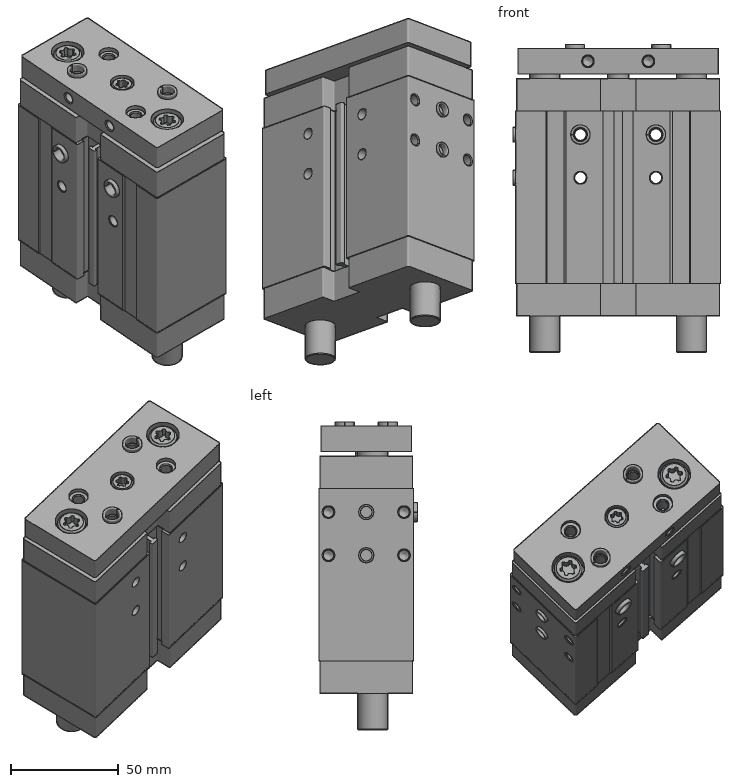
import cadquery as cq
import math

ROD_PROTRUSION = 17.0
CAP_HEIGHT = 15.0
BODY_HEIGHT = 80.0
STROKE_GAP = 2.0
PLATE_THICKNESS = 12.0
BODY_BOTTOM = ROD_PROTRUSION + CAP_HEIGHT
BODY_TOP = BODY_BOTTOM + BODY_HEIGHT
CAP_TOP = BODY_TOP + CAP_HEIGHT
PLATE_BOTTOM = CAP_TOP + STROKE_GAP
PLATE_TOP = PLATE_BOTTOM + PLATE_THICKNESS

BODY_LENGTH = 95.0
BODY_WIDTH = 44.0
BODY_CORNER = 0.5
CAP_LENGTH = 94.0
CAP_WIDTH = 43.0
PLATE_LENGTH = 93.0
PLATE_WIDTH = 42.0
END_CORNER = 1.0
BODY_FACE = BODY_WIDTH / 2
CAP_FACE = CAP_WIDTH / 2

ROD_DIAMETER = 14.0
ROD_X = 34.0
ROD_Y = -3.0
ROD_CHAMFER = 0.4
PISTON_ROD_DIAMETER = 10.0
COUNTERBORE_DEPTH = 5.7
SCREW_RECESS = 0.5
SOCKET_DEPTH = 4.3
ROD_COUNTERBORE = 15.0
ROD_SCREW_HEAD = 13.0
ROD_SCREW_CHAMFER = 1.0
ROD_SOCKET_TIP = 7.7
ROD_SOCKET_VALLEY = 5.5
PISTON_COUNTERBORE = 11.0
PISTON_SCREW_HEAD = 10.0
PISTON_SCREW_CHAMFER = 0.7
PISTON_SOCKET_TIP = 5.9
PISTON_SOCKET_VALLEY = 4.4

THREAD_CORE = 4.9
FRONT_HOLE_DIAMETER = 5.3
FRONT_HOLE_CHAMFER = 0.35
THREAD_CHAMFER = 0.5
THREAD_DEPTH = 10.0
DRILL_TIP_ANGLE = 118
UPPER_HOLE_Z = 101.0
HOLE_PITCH_Z = 20.0
LOWER_HOLE_Z = UPPER_HOLE_Z - HOLE_PITCH_Z
HOLE_SPACING = 35.0
PLATE_HOLE_X = 20.0
PLATE_HOLE_Y = 10.0
PLATE_FRONT_HOLE_X = 14.0

LARGE_SLEEVE_OD = 9.0
LARGE_SLEEVE_BORE = 6.4
LARGE_SLEEVE_SEAT = 2.1
LARGE_SLEEVE_PROTRUSION = 1.9
LARGE_SLEEVE_SLIT = 0.3
SMALL_SLEEVE_OD = 7.0
SMALL_SLEEVE_BORE = 5.3
SMALL_SLEEVE_SEAT = 1.7
SMALL_SLEEVE_PROTRUSION = 1.3

CAP_SLOT_RADIUS = 0.4
BODY_SLOT_RADIUS = 0.5
CAP_SLOT_HALF = 8.3
CAP_SLOT_FLOOR = 14.1
LIP_HALF = 7.0
LIP_BACK = 17.7
UNDERCUT_HALF = 8.7
UNDERCUT_FLOOR = 13.3
RIDGE_HEAD_HALF = 2.0
RIDGE_STEM_HALF = 1.0
RIDGE_FRONT = 19.5

GROOVE_DEPTH = 0.5
GROOVE_OUTER_X = 33.4
GROOVE_FLOOR_OUTER_X = 33.0
GROOVE_FLOOR_INNER_X = 25.1
GROOVE_INNER_X = 24.1


def block(length, width, bottom, height, corner):
    """Upright block centred on the Z axis with rounded vertical edges."""
    plain = cq.Workplane("XY").workplane(offset=bottom).rect(length, width).extrude(height)
    return plain.edges("|Z").fillet(corner)


def cylinder(origin, direction, diameter, depth):
    """Cylinder from an origin point along a direction."""
    return cq.Workplane(
        cq.Solid.makeCylinder(diameter / 2, depth, cq.Vector(*origin), cq.Vector(*direction))
    )


def cone(origin, direction, large_diameter, small_diameter, depth):
    """Cone that narrows from an origin point along a direction."""
    return cq.Workplane(
        cq.Solid.makeCone(
            large_diameter / 2, small_diameter / 2, depth, cq.Vector(*origin), cq.Vector(*direction)
        )
    )


def along(origin, direction, distance):
    """Point at a distance from the origin along a direction."""
    return tuple(o + d * distance for o, d in zip(origin, direction))


def chamfered_hole(origin, direction, depth, diameter=THREAD_CORE, chamfer=THREAD_CHAMFER):
    """Cutter for a round hole with an entry chamfer."""
    mouth = cone(origin, direction, diameter + 2 * chamfer, diameter, chamfer)
    return cylinder(origin, direction, diameter, depth).union(mouth)


def blind_thread(origin, direction):
    """Cutter for a chamfered blind hole with a drill-tip bottom."""
    tip_height = THREAD_CORE / 2 / math.tan(math.radians(DRILL_TIP_ANGLE / 2))
    tip = cone(along(origin, direction, THREAD_DEPTH), direction, THREAD_CORE, 0, tip_height)
    return chamfered_hole(origin, direction, THREAD_DEPTH).union(tip)


def sleeve(mouth, inward, outer, bore, seat, protrusion):
    """Centring sleeve with a fully rounded tip; it sits in a recess and stands proud of the face."""
    outer_radius = outer / 2
    bore_radius = bore / 2
    tip_radius = (outer_radius - bore_radius) / 2
    tube = (
        cq.Workplane("XZ")
        .moveTo(-bore_radius, -seat)
        .lineTo(-outer_radius, -seat)
        .lineTo(-outer_radius, protrusion - tip_radius)
        .threePointArc((tip_radius - outer_radius, protrusion), (-bore_radius, protrusion - tip_radius))
        .close()
        .revolve(360, (0, 0, 0), (0, 1, 0))
    )
    outward = tuple(-d for d in inward)
    x_direction = (0, 1, 0) if inward[0] else (1, 0, 0)
    return tube.val().moved(cq.Plane(origin=mouth, xDir=x_direction, normal=outward).location)


INTO_FRONT = (0, 1, 0)
INTO_SIDE = (1, 0, 0)
DOWN = (0, 0, -1)
UP = (0, 0, 1)
FRONT_SLEEVE_SEATS = [(side * HOLE_SPACING / 2, -BODY_FACE, UPPER_HOLE_Z) for side in (-1, 1)]
SIDE_SLEEVE_SEATS = [(-BODY_LENGTH / 2, 0, z) for z in (UPPER_HOLE_Z, LOWER_HOLE_Z)]
PLATE_SLEEVE_SEATS = [(side * PLATE_HOLE_X, side * PLATE_HOLE_Y, PLATE_TOP) for side in (-1, 1)]
GUIDE_ROD_CENTRES = [(-ROD_X, ROD_Y), (ROD_X, ROD_Y)]


def rod_bores(bottom, height):
    """Cutter for the two guide rods over a height range."""
    centres = cq.Workplane("XY").workplane(offset=bottom).pushPoints(GUIDE_ROD_CENTRES)
    return centres.circle(ROD_DIAMETER / 2).extrude(height)


def piston_rod(bottom, height):
    """Piston rod cylinder over a height range, also the cutter for its bore."""
    return cylinder((0, 0, bottom), UP, PISTON_ROD_DIAMETER, height)


def cap_slot():
    """Straight slot cutter at the front of a cap, with rounded floor corners and mouth edges."""
    r = CAP_SLOT_RADIUS
    s = r * math.sqrt(0.5)
    mouth_y = -CAP_FACE
    floor_y = -CAP_SLOT_FLOOR
    w = CAP_SLOT_HALF
    return (
        cq.Workplane("XY")
        .moveTo(-w - r, mouth_y)
        .threePointArc((-w - r + s, mouth_y + r - s), (-w, mouth_y + r))
        .lineTo(-w, floor_y - r)
        .threePointArc((-w + r - s, floor_y - r + s), (-w + r, floor_y))
        .lineTo(w - r, floor_y)
        .threePointArc((w - r + s, floor_y - r + s), (w, floor_y - r))
        .lineTo(w, mouth_y + r)
        .threePointArc((w + r - s, mouth_y + r - s), (w + r, mouth_y))
        .close()
        .extrude(CAP_HEIGHT)
    )


def end_cap(bottom):
    """End cap with a slot front and back and the guide rod bores."""
    slot = cap_slot().translate((0, 0, bottom))
    cap = block(CAP_LENGTH, CAP_WIDTH, bottom, CAP_HEIGHT, END_CORNER)
    return cap.cut(slot).cut(slot.mirror("XZ")).cut(rod_bores(bottom, CAP_HEIGHT))


lower_cap = end_cap(ROD_PROTRUSION)
upper_cap = end_cap(BODY_TOP).cut(piston_rod(BODY_TOP, CAP_HEIGHT))


def body_slot():
    """Double T-slot cutter at the front: a wide undercut channel around a T-shaped ridge."""
    r = BODY_SLOT_RADIUS
    s = r * math.sqrt(0.5)
    mouth_y = -BODY_FACE
    w = LIP_HALF
    channel = (
        cq.Workplane("XY")
        .moveTo(-w - r, mouth_y)
        .threePointArc((-w - r + s, mouth_y + r - s), (-w, mouth_y + r))
        .lineTo(-w, -LIP_BACK)
        .lineTo(-UNDERCUT_HALF, -LIP_BACK)
        .lineTo(-UNDERCUT_HALF, -UNDERCUT_FLOOR)
        .lineTo(UNDERCUT_HALF, -UNDERCUT_FLOOR)
        .lineTo(UNDERCUT_HALF, -LIP_BACK)
        .lineTo(w, -LIP_BACK)
        .lineTo(w, mouth_y + r)
        .threePointArc((w + r - s, mouth_y + r - s), (w + r, mouth_y))
        .close()
        .extrude(BODY_HEIGHT)
    )
    head = (
        cq.Workplane("XY")
        .rect(2 * RIDGE_HEAD_HALF, RIDGE_FRONT - LIP_BACK)
        .extrude(BODY_HEIGHT)
        .edges("|Z and <Y")
        .fillet(r)
        .translate((0, -(RIDGE_FRONT + LIP_BACK) / 2, 0))
    )
    stem = (
        cq.Workplane("XY")
        .rect(2 * RIDGE_STEM_HALF, LIP_BACK - UNDERCUT_FLOOR)
        .extrude(BODY_HEIGHT)
        .translate((0, -(LIP_BACK + UNDERCUT_FLOOR) / 2, 0))
    )
    return channel.cut(head).cut(stem).translate((0, 0, BODY_BOTTOM))


def front_groove():
    """Shallow groove cutter on the front left, with sloped sides."""
    floor_y = -BODY_FACE + GROOVE_DEPTH
    outline = [
        (-GROOVE_OUTER_X, -BODY_FACE),
        (-GROOVE_FLOOR_OUTER_X, floor_y),
        (-GROOVE_FLOOR_INNER_X, floor_y),
        (-GROOVE_INNER_X, -BODY_FACE),
    ]
    base = cq.Workplane("XY").workplane(offset=BODY_BOTTOM)
    return base.polyline(outline).close().extrude(BODY_HEIGHT)


def make_body():
    """Body with slots, grooves, rod bores, threaded holes and sleeve recesses."""
    body = block(BODY_LENGTH, BODY_WIDTH, BODY_BOTTOM, BODY_HEIGHT, BODY_CORNER)
    slot = body_slot()
    groove = front_groove()
    body = body.cut(slot).cut(slot.mirror("XZ"))
    body = body.cut(groove).cut(groove.mirror("YZ"))
    body = body.cut(rod_bores(BODY_BOTTOM, BODY_HEIGHT)).cut(piston_rod(BODY_BOTTOM, BODY_HEIGHT))
    for z in (UPPER_HOLE_Z, LOWER_HOLE_Z):
        for side in (-1, 1):
            front_mouth = (side * HOLE_SPACING / 2, -BODY_FACE, z)
            side_mouth = (-BODY_LENGTH / 2, side * HOLE_SPACING / 2, z)
            body = body.cut(
                chamfered_hole(front_mouth, INTO_FRONT, BODY_WIDTH, FRONT_HOLE_DIAMETER, FRONT_HOLE_CHAMFER)
            )
            body = body.cut(blind_thread(side_mouth, INTO_SIDE))
    for seat in FRONT_SLEEVE_SEATS:
        body = body.cut(cylinder(seat, INTO_FRONT, LARGE_SLEEVE_OD, LARGE_SLEEVE_SEAT))
    for seat in SIDE_SLEEVE_SEATS:
        body = body.cut(cylinder(seat, INTO_SIDE, SMALL_SLEEVE_OD, SMALL_SLEEVE_SEAT))
    return body


body = make_body()


def socket(tip_diameter, valley_diameter, first_lobe_angle):
    """Six-lobed screw socket cutter, standing on z = 0 and extending downwards."""
    lobe_count = 6
    lobe_angle = 360 / lobe_count
    half_lobe = 11
    tip = tip_diameter / 2
    valley = valley_diameter / 2
    shoulder = tip - (tip - valley) / 4

    def polar(radius, degrees):
        angle = math.radians(degrees)
        return (radius * math.cos(angle), radius * math.sin(angle))

    outline = cq.Workplane("XY").moveTo(*polar(shoulder, first_lobe_angle - half_lobe))
    for lobe in range(lobe_count):
        centre = first_lobe_angle + lobe * lobe_angle
        next_centre = centre + lobe_angle
        outline = outline.threePointArc(polar(tip, centre), polar(shoulder, centre + half_lobe))
        outline = outline.threePointArc(
            polar(valley, centre + lobe_angle / 2), polar(shoulder, next_centre - half_lobe)
        )
    return outline.close().extrude(-SOCKET_DEPTH)


def add_screw(plate, x, y, counterbore, head, chamfer, socket_cutter):
    """Counterbore in the plate with a chamfered screw head standing in it."""
    floor_z = PLATE_TOP - COUNTERBORE_DEPTH
    head_height = COUNTERBORE_DEPTH - SCREW_RECESS
    plate = plate.cut(cylinder((x, y, PLATE_TOP), DOWN, counterbore, COUNTERBORE_DEPTH))
    screw_head = cylinder((x, y, floor_z), UP, head, head_height).faces(">Z").chamfer(chamfer)
    return plate.union(screw_head).cut(socket_cutter.translate((x, y, PLATE_TOP - SCREW_RECESS)))


def make_moving_plate():
    """Plate joined to its guide rods, piston rod and screw heads."""
    plate = block(PLATE_LENGTH, PLATE_WIDTH, PLATE_BOTTOM, PLATE_THICKNESS, END_CORNER)
    for x_side in (-1, 1):
        for y_side in (-1, 1):
            mouth = (x_side * PLATE_HOLE_X, y_side * PLATE_HOLE_Y, PLATE_TOP)
            thread_start = along(mouth, DOWN, LARGE_SLEEVE_SEAT)
            thread_depth = PLATE_THICKNESS - LARGE_SLEEVE_SEAT
            plate = plate.cut(cylinder(mouth, DOWN, LARGE_SLEEVE_OD, LARGE_SLEEVE_SEAT))
            plate = plate.cut(chamfered_hole(thread_start, DOWN, thread_depth))
        front_mouth = (x_side * PLATE_FRONT_HOLE_X, -PLATE_WIDTH / 2, PLATE_BOTTOM + PLATE_THICKNESS / 2)
        plate = plate.cut(blind_thread(front_mouth, INTO_FRONT))

    rod_socket = socket(ROD_SOCKET_TIP, ROD_SOCKET_VALLEY, 90)
    for x, y in GUIDE_ROD_CENTRES:
        rod = cylinder((x, y, 0), UP, ROD_DIAMETER, PLATE_BOTTOM).faces("<Z").chamfer(ROD_CHAMFER)
        plate = plate.union(rod)
        plate = add_screw(plate, x, y, ROD_COUNTERBORE, ROD_SCREW_HEAD, ROD_SCREW_CHAMFER, rod_socket)

    piston_socket = socket(PISTON_SOCKET_TIP, PISTON_SOCKET_VALLEY, 0)
    plate = plate.union(piston_rod(BODY_BOTTOM, PLATE_BOTTOM - BODY_BOTTOM))
    return add_screw(
        plate, 0, 0, PISTON_COUNTERBORE, PISTON_SCREW_HEAD, PISTON_SCREW_CHAMFER, piston_socket
    )


moving_plate = make_moving_plate()


def large_sleeve(mouth, inward):
    """Large sleeve, slit along its -X side."""
    tube = sleeve(
        mouth, inward, LARGE_SLEEVE_OD, LARGE_SLEEVE_BORE, LARGE_SLEEVE_SEAT, LARGE_SLEEVE_PROTRUSION
    )
    slit_length = 2 * (LARGE_SLEEVE_SEAT + LARGE_SLEEVE_PROTRUSION)
    slit_y, slit_z = [slit_length if d else LARGE_SLEEVE_SLIT for d in inward[1:]]
    slit = cq.Workplane("XY").box(LARGE_SLEEVE_OD, slit_y, slit_z)
    slit_centre = along(mouth, (-1, 0, 0), LARGE_SLEEVE_OD / 2)
    return tube.cut(slit.translate(slit_centre).val())


def small_sleeve(mouth, inward):
    """Small closed sleeve."""
    return sleeve(
        mouth, inward, SMALL_SLEEVE_OD, SMALL_SLEEVE_BORE, SMALL_SLEEVE_SEAT, SMALL_SLEEVE_PROTRUSION
    )


plate_sleeves = [large_sleeve(seat, DOWN) for seat in PLATE_SLEEVE_SEATS]
front_sleeves = [large_sleeve(seat, INTO_FRONT) for seat in FRONT_SLEEVE_SEATS]
side_sleeves = [small_sleeve(seat, INTO_SIDE) for seat in SIDE_SLEEVE_SEATS]

result = cq.Compound.makeCompound(
    [
        lower_cap.val(),
        body.val(),
        upper_cap.val(),
        moving_plate.val(),
        *plate_sleeves,
        *front_sleeves,
        *side_sleeves,
    ]
)